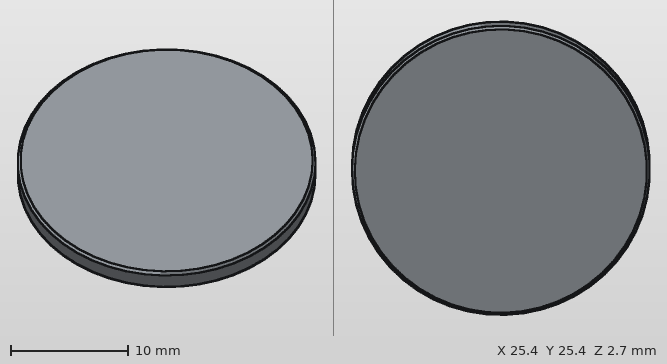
import cadquery as cq
import math

diameter = 25.4
centre_thickness = 2.7
dome_height = 0.68
edge_chamfer = 0.25

radius = diameter / 2
rim_radius = radius - edge_chamfer
dome_edge_z = centre_thickness - dome_height

sphere_radius = (rim_radius**2 + dome_height**2) / (2 * dome_height)
sphere_centre_z = centre_thickness - sphere_radius

mid_radius = rim_radius / 2
mid_z = sphere_centre_z + math.sqrt(sphere_radius**2 - mid_radius**2)

half_section = (
    cq.Workplane("YZ")
    .moveTo(0, 0)
    .lineTo(-rim_radius, 0)
    .lineTo(-radius, edge_chamfer)
    .lineTo(-radius, dome_edge_z - edge_chamfer)
    .lineTo(-rim_radius, dome_edge_z)
    .threePointArc((-mid_radius, mid_z), (0, centre_thickness))
    .close()
)

result = half_section.revolve(360, (0, 0, 0), (0, 1, 0))